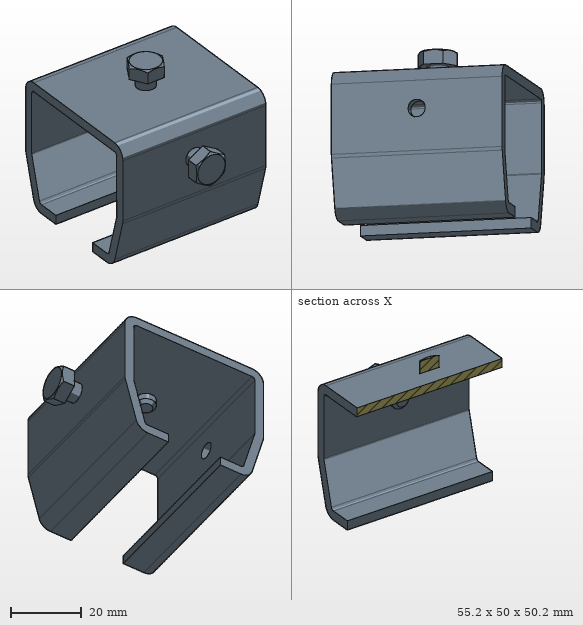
import cadquery as cq
import math

LENGTH = 50.0
WIDTH = 47.0
HEIGHT = 42.0
THICKNESS = 3.0
OUTER_BEND_RADIUS = 4.0
INNER_BEND_RADIUS = OUTER_BEND_RADIUS - THICKNESS
WALL_BOTTOM = 17.8
TAPER_ANGLE = 15.0
SLOT_WIDTH = 17.7

SHANK_DIAMETER = 6.0
SHANK_LENGTH = 10.0
TIP_CHAMFER = 1.0
UNDER_HEAD_FILLET = 0.25
HEAD_HEIGHT = 4.2
HEAD_SIDES = 6
HEAD_HALF_SIDE_ANGLE = 180.0 / HEAD_SIDES
HEAD_ACROSS_FLATS = 10.0
HEAD_TOP_DIAMETER = 9.5
HEAD_CHAMFER_ANGLE = 30.0
BOLT_PROJECTION = 8.2

SIDE_AXIS_HEIGHT = 30.0
SIDE_HOLE_DIAMETER = 5.0


def bend_point(centre, radius, degrees):
    """Point on a bend, with the angle measured anticlockwise from +X."""
    angle = math.radians(degrees)
    return (centre[0] + radius * math.cos(angle), centre[1] + radius * math.sin(angle))


def make_half_channel():
    """The -X half of the channel, from the roof centre to the lip end."""
    wall_bend_x = OUTER_BEND_RADIUS - WIDTH / 2
    roof_bend = (wall_bend_x, HEIGHT - OUTER_BEND_RADIUS)
    taper_bend = (wall_bend_x, WALL_BOTTOM)
    taper_drop = WALL_BOTTOM - OUTER_BEND_RADIUS
    taper_shift = taper_drop * math.tan(math.radians(TAPER_ANGLE))
    lip_bend = (wall_bend_x + taper_shift, OUTER_BEND_RADIUS)

    bends = [
        (roof_bend, 90, 180),
        (taper_bend, 180, 180 + TAPER_ANGLE),
        (lip_bend, 180 + TAPER_ANGLE, 270),
    ]

    lip_end = -SLOT_WIDTH / 2
    profile = cq.Workplane("XZ").moveTo(0, HEIGHT)
    for centre, start, end in bends:
        profile = profile.lineTo(*bend_point(centre, OUTER_BEND_RADIUS, start))
        profile = profile.threePointArc(
            bend_point(centre, OUTER_BEND_RADIUS, (start + end) / 2),
            bend_point(centre, OUTER_BEND_RADIUS, end),
        )
    profile = profile.lineTo(lip_end, 0).lineTo(lip_end, THICKNESS)
    for centre, start, end in reversed(bends):
        profile = profile.lineTo(*bend_point(centre, INNER_BEND_RADIUS, end))
        profile = profile.threePointArc(
            bend_point(centre, INNER_BEND_RADIUS, (start + end) / 2),
            bend_point(centre, INNER_BEND_RADIUS, start),
        )
    profile = profile.lineTo(0, HEIGHT - THICKNESS).close()
    return profile.extrude(LENGTH / 2, both=True)


def make_channel():
    half = make_half_channel()
    channel = half.union(half.mirror("YZ"))
    hole = (
        cq.Workplane("YZ", origin=(-WIDTH / 2, 0, SIDE_AXIS_HEIGHT))
        .circle(SIDE_HOLE_DIAMETER / 2)
        .extrude(THICKNESS)
    )
    return channel.cut(hole)


def make_bolt():
    """Bolt along Z with its head top at z = 0 and two head flats facing +X and -X."""
    across_corners = HEAD_ACROSS_FLATS / math.cos(math.radians(HEAD_HALF_SIDE_ANGLE))
    head = (
        cq.Workplane("XY")
        .polygon(HEAD_SIDES, across_corners)
        .extrude(-HEAD_HEIGHT)
        .rotate((0, 0, 0), (0, 0, 1), HEAD_HALF_SIDE_ANGLE)
    )

    top_radius = HEAD_TOP_DIAMETER / 2
    corner_radius = across_corners / 2
    corner_drop = (corner_radius - top_radius) * math.tan(math.radians(HEAD_CHAMFER_ANGLE))
    turned_blank = (
        cq.Workplane("XZ")
        .moveTo(0, 0)
        .lineTo(top_radius, 0)
        .lineTo(corner_radius, -corner_drop)
        .lineTo(corner_radius, -HEAD_HEIGHT)
        .lineTo(0, -HEAD_HEIGHT)
        .close()
        .revolve(360, (0, 0), (0, 1))
    )

    shank_radius = SHANK_DIAMETER / 2
    tip = -HEAD_HEIGHT - SHANK_LENGTH
    shank = (
        cq.Workplane("XZ")
        .moveTo(0, -HEAD_HEIGHT)
        .lineTo(shank_radius + UNDER_HEAD_FILLET, -HEAD_HEIGHT)
        .radiusArc((shank_radius, -HEAD_HEIGHT - UNDER_HEAD_FILLET), -UNDER_HEAD_FILLET)
        .lineTo(shank_radius, tip + TIP_CHAMFER)
        .lineTo(shank_radius - TIP_CHAMFER, tip)
        .lineTo(0, tip)
        .close()
        .revolve(360, (0, 0), (0, 1))
    )
    return head.intersect(turned_blank).union(shank)


bolt = make_bolt()
roof_bolt = bolt.translate((0, 0, HEIGHT + BOLT_PROJECTION))
side_bolt = (
    bolt.rotate((0, 0, 0), (0, 0, 1), 90)
    .rotate((0, 0, 0), (0, 1, 0), 90)
    .translate((WIDTH / 2 + BOLT_PROJECTION, 0, SIDE_AXIS_HEIGHT))
)

result = make_channel().union(roof_bolt).union(side_bolt)